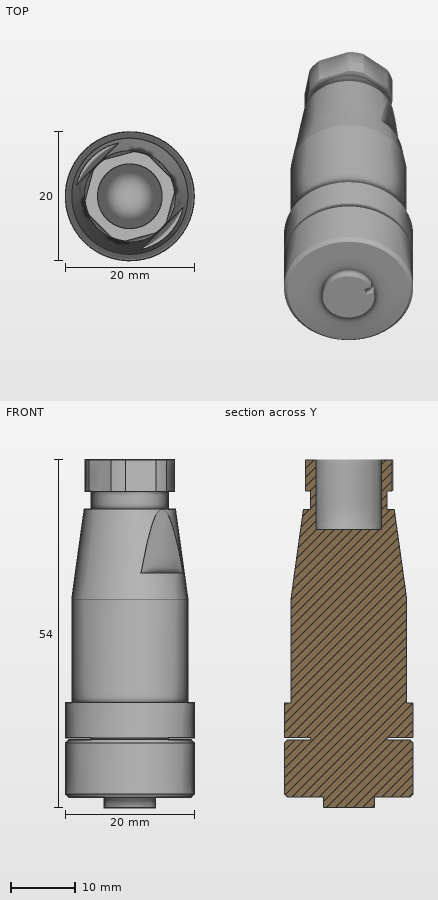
import cadquery as cq
import math

total_height = 54.0
coupling_bottom = 1.6
coupling_top = 10.6
collar_bottom = 10.85
collar_top = 16.3
taper_bottom = 32.35
flat_floor = 36.45
taper_top = 46.35
nut_bottom = 49.1

insert_radius = 4.0
coupling_radius = 10.015
collar_radius = coupling_radius
body_radius = 9.0
taper_top_radius = 7.1
neck_radius = 6.0
nut_radius = 6.95
bore_radius = 5.0

coupling_chamfer = 0.55
nut_across_flats = 13.05
nut_turn = 15.0
bore_depth = 10.8
wrench_flat_angles = (135.0, 315.0)

keyway_angle = 135.0
keyway_width = 1.15
keyway_step_height = 1.15
keyway_lower_floor_radius = 2.7
keyway_upper_floor_radius = 3.25


def cylinder(radius, bottom, top):
    return cq.Workplane("XY").workplane(offset=bottom).circle(radius).extrude(top - bottom)


def make_body():
    """Collar, barrel and tapered shoulder revolved about Z."""
    profile = [
        (0, collar_bottom),
        (collar_radius, collar_bottom),
        (collar_radius, collar_top),
        (body_radius, collar_top),
        (body_radius, taper_bottom),
        (taper_top_radius, taper_top),
        (0, taper_top),
    ]
    body = cq.Workplane("XZ").polyline(profile).close().revolve(360, (0, 0), (0, 1))
    for angle in wrench_flat_angles:
        cutter = (
            cq.Workplane("XY")
            .box(body_radius, 2 * body_radius, taper_top - flat_floor, centered=(False, True, False))
            .translate((taper_top_radius, 0, flat_floor))
            .rotate((0, 0, 0), (0, 0, 1), angle)
        )
        body = body.cut(cutter)
    return body


def make_nut():
    """Hexagon with its corners turned down to a cylinder."""
    height = total_height - nut_bottom
    across_corners = nut_across_flats / math.cos(math.pi / 6)
    hexagon = (
        cq.Workplane("XY")
        .workplane(offset=nut_bottom)
        .polygon(6, across_corners)
        .extrude(height)
        .rotate((0, 0, 0), (0, 0, 1), nut_turn)
    )
    return hexagon.intersect(cylinder(nut_radius, nut_bottom, total_height))


def make_keyway_part(floor_radius, height):
    """Radial slot cutter rising from the lower end, open to the outside."""
    return (
        cq.Workplane("XY")
        .box(insert_radius, keyway_width, height, centered=(False, True, False))
        .translate((floor_radius, 0, 0))
        .rotate((0, 0, 0), (0, 0, 1), keyway_angle)
    )


insert = (
    cylinder(insert_radius, 0, coupling_bottom)
    .cut(make_keyway_part(keyway_upper_floor_radius, coupling_bottom))
    .cut(make_keyway_part(keyway_lower_floor_radius, keyway_step_height))
)

coupling = cylinder(coupling_radius, coupling_bottom, coupling_top)
coupling = coupling.faces("<Z or >Z").edges().chamfer(coupling_chamfer)

result = (
    insert
    .union(coupling)
    .union(cylinder(neck_radius, coupling_top, collar_bottom))
    .union(make_body())
    .union(cylinder(neck_radius, taper_top, nut_bottom))
    .union(make_nut())
    .cut(cylinder(bore_radius, total_height - bore_depth, total_height))
)